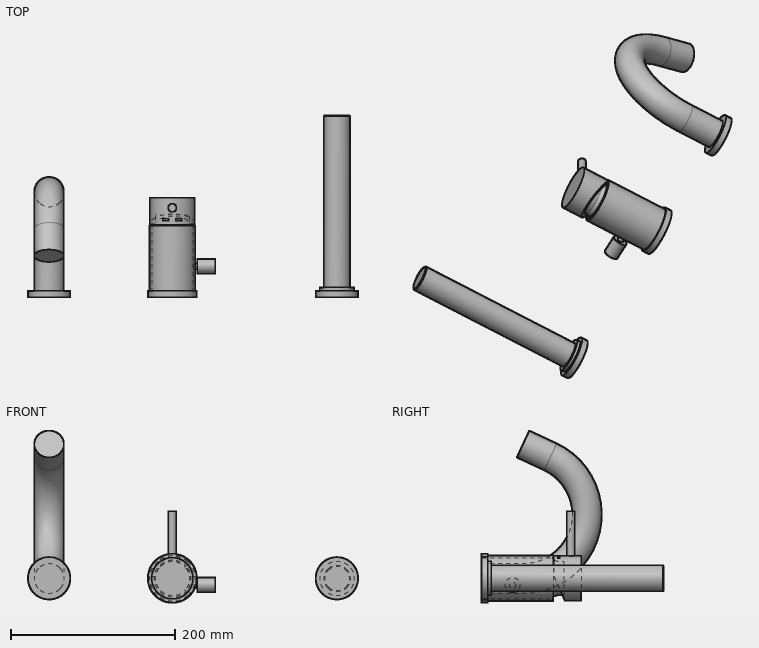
import cadquery as cq
import math

SPOUT_TO_SHOWER = 350.0
SPOUT_TO_MIXER = 150.0
SPOUT_X = 0.0
MIXER_X = SPOUT_X + SPOUT_TO_MIXER
SHOWER_X = SPOUT_X + SPOUT_TO_SHOWER

FLANGE_DIAMETER = 52.0
FLANGE_THICKNESS = 8.0

SPOUT_DIAMETER = 36.0
SPOUT_BEND_START = 51.0
SPOUT_BEND_RADIUS = 77.5
SPOUT_RISE_ANGLE = 25.0
SPOUT_TIP_LENGTH = 36.5

SHOWER_DIAMETER = 32.0
SHOWER_LENGTH = 222.0
SHOWER_TIP_CHAMFER = 1.2
COLLAR_DIAMETER = 42.0
COLLAR_THICKNESS = 4.0

MIXER_FLANGE_DIAMETER = 60.0
HOUSING_DIAMETER = 56.0
HOUSING_END = 87.2

CORE_DIAMETER = 50.2
NECK_DIAMETER = 41.5
NECK_FOOT_DIAMETER = 45.0
NECK_FOOT_LENGTH = 6.0
NECK_END = 100.5

CAP_DIAMETER = 55.0
CAP_GAP = 1.2
CAP_START = HOUSING_END + CAP_GAP
CAP_END = 121.5
CAP_TILT = 24.0
CAP_HINGE_Z = 2.5
LEVER_DIAMETER = 10.0
LEVER_Y = 109.0
LEVER_TOP = 81.5

MARK_LENGTH = 7.2
MARK_WIDTH = 2.5
MARK_DEPTH = 0.5
MARK_OFFSET = 8.0
MARK_Y = 94.5

KNOB_DIAMETER = 18.0
KNOB_Y = 37.8
KNOB_Z = -8.0
KNOB_START = 30.0
KNOB_END = 52.3
STEM_DIAMETER = 7.5


def y_cylinder(x, diameter, start, end):
    """Cylinder along +Y, centred on (x, 0), between two distances from the wall."""
    plane = cq.Plane(origin=(x, start, 0), xDir=(1, 0, 0), normal=(0, 1, 0))
    return cq.Workplane(plane).circle(diameter / 2).extrude(end - start)


def x_cylinder(diameter, start, end):
    """Cylinder along +X on the knob axis, between two distances from the mixer axis."""
    plane = cq.Plane(origin=(MIXER_X + start, KNOB_Y, KNOB_Z), xDir=(0, 1, 0), normal=(1, 0, 0))
    return cq.Workplane(plane).circle(diameter / 2).extrude(end - start)


def make_spout():
    rise = math.radians(SPOUT_RISE_ANGLE)
    bend_mid = (SPOUT_BEND_START + SPOUT_BEND_RADIUS, SPOUT_BEND_RADIUS)
    bend_end = (
        SPOUT_BEND_START + SPOUT_BEND_RADIUS * math.sin(rise),
        SPOUT_BEND_RADIUS * (1 + math.cos(rise)),
    )
    tip = (
        bend_end[0] - SPOUT_TIP_LENGTH * math.cos(rise),
        bend_end[1] + SPOUT_TIP_LENGTH * math.sin(rise),
    )
    path = (
        cq.Workplane("YZ", origin=(SPOUT_X, 0, 0))
        .moveTo(0, 0)
        .lineTo(SPOUT_BEND_START, 0)
        .threePointArc(bend_mid, bend_end)
        .lineTo(*tip)
    )
    tube = (
        cq.Workplane("XZ", origin=(SPOUT_X, 0, 0))
        .circle(SPOUT_DIAMETER / 2)
        .sweep(path)
    )
    return y_cylinder(SPOUT_X, FLANGE_DIAMETER, 0, FLANGE_THICKNESS).union(tube)


def make_shower():
    collar_end = FLANGE_THICKNESS + COLLAR_THICKNESS
    handset = y_cylinder(SHOWER_X, SHOWER_DIAMETER, 0, SHOWER_LENGTH)
    handset = handset.faces(">Y").chamfer(SHOWER_TIP_CHAMFER)
    flange = y_cylinder(SHOWER_X, FLANGE_DIAMETER, 0, FLANGE_THICKNESS)
    collar = y_cylinder(SHOWER_X, COLLAR_DIAMETER, 0, collar_end)
    return flange.union(collar).union(handset)


def make_knob():
    stem = x_cylinder(STEM_DIAMETER, 0, KNOB_START)
    knob = x_cylinder(KNOB_DIAMETER, KNOB_START, KNOB_END)
    return stem.union(knob)


def make_housing():
    flange = y_cylinder(MIXER_X, MIXER_FLANGE_DIAMETER, 0, FLANGE_THICKNESS)
    barrel = y_cylinder(MIXER_X, HOUSING_DIAMETER, 0, HOUSING_END)
    bore = y_cylinder(MIXER_X, CORE_DIAMETER, 0, HOUSING_END)
    return flange.union(barrel).union(make_knob()).cut(bore)


def make_core():
    """Solid of revolution: a plug in the housing, a tapered foot and a straight neck."""
    return (
        cq.Workplane("XY", origin=(MIXER_X, 0, 0))
        .lineTo(CORE_DIAMETER / 2, 0)
        .lineTo(CORE_DIAMETER / 2, HOUSING_END)
        .lineTo(NECK_FOOT_DIAMETER / 2, HOUSING_END)
        .lineTo(NECK_DIAMETER / 2, HOUSING_END + NECK_FOOT_LENGTH)
        .lineTo(NECK_DIAMETER / 2, NECK_END)
        .lineTo(0, NECK_END)
        .close()
        .revolve(360, (0, 0, 0), (0, 1, 0))
    )


def make_tilt_relief():
    """Wedge that clears the lower front of the cap so that it can tilt towards the housing."""
    drop = CAP_HINGE_Z + CAP_DIAMETER
    setback = drop * math.tan(math.radians(CAP_TILT))
    return (
        cq.Workplane("YZ", origin=(MIXER_X, CAP_START, CAP_HINGE_Z))
        .lineTo(setback, -drop)
        .lineTo(0, -drop)
        .close()
        .extrude(CAP_DIAMETER, both=True)
    )


def make_marks():
    """Blocks that leave two shallow recesses in the top of the cap, one on each side."""
    return (
        cq.Workplane("XY", origin=(MIXER_X, MARK_Y, 0))
        .pushPoints([(-MARK_OFFSET, 0), (MARK_OFFSET, 0)])
        .rect(MARK_LENGTH, MARK_WIDTH)
        .extrude(CAP_DIAMETER)
        .cut(y_cylinder(MIXER_X, CAP_DIAMETER - 2 * MARK_DEPTH, CAP_START, CAP_END))
    )


def make_handle(core):
    cap = y_cylinder(MIXER_X, CAP_DIAMETER, CAP_START, CAP_END)
    lever = (
        cq.Workplane("XY", origin=(MIXER_X, LEVER_Y, 0))
        .circle(LEVER_DIAMETER / 2)
        .extrude(LEVER_TOP)
    )
    cap = cap.cut(make_tilt_relief()).cut(make_marks())
    return cap.union(lever).cut(core)


spout = make_spout()
shower = make_shower()
housing = make_housing()
core = make_core()
handle = make_handle(core)

result = cq.Compound.makeCompound(
    [spout.val(), shower.val(), housing.val(), core.val(), handle.val()]
)